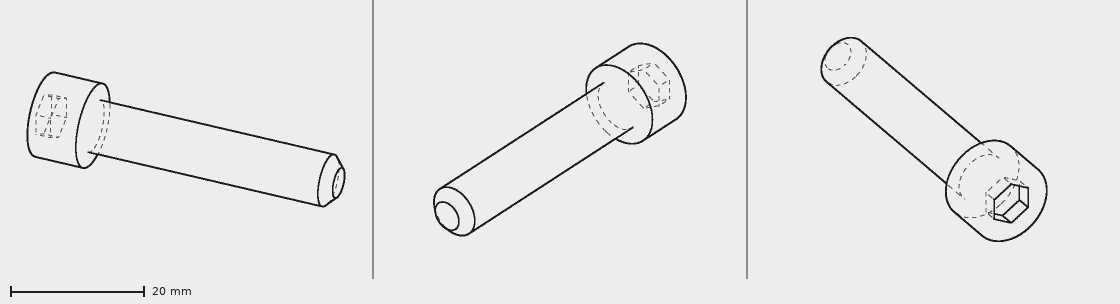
import cadquery as cq
import math

total_length = 48.0
head_diameter = 13.0
head_length = 8.0
head_edge_radius = 0.35
shank_diameter = head_length
neck_fillet_radius = 0.35
tip_chamfer = 1.7
socket_across_flats = 6.0
socket_depth = 2.4

head_start = -total_length / 2


def cylinder_along_x(start, diameter, length):
    return cq.Workplane("YZ", origin=(start, 0, 0)).circle(diameter / 2).extrude(length)


head = cylinder_along_x(head_start, head_diameter, head_length)
head = head.faces("<X").edges().fillet(head_edge_radius)

shank_start = head_start + head_length
shank = cylinder_along_x(shank_start, shank_diameter, total_length - head_length)
shank = shank.faces(">X").edges().chamfer(tip_chamfer)

neck_selector = cq.selectors.BoxSelector(
    (shank_start - neck_fillet_radius, -shank_diameter, -shank_diameter),
    (shank_start + neck_fillet_radius, shank_diameter, shank_diameter),
)
screw = head.union(shank)
neck_edge = screw.edges(neck_selector).edges(cq.selectors.RadiusNthSelector(0))
screw = neck_edge.fillet(neck_fillet_radius)

socket_across_corners = socket_across_flats / math.cos(math.pi / 6)
socket = (
    cq.Workplane("YZ", origin=(head_start, 0, 0))
    .transformed(rotate=(0, 0, 90))
    .polygon(6, socket_across_corners)
    .extrude(socket_depth)
)

result = screw.cut(socket)